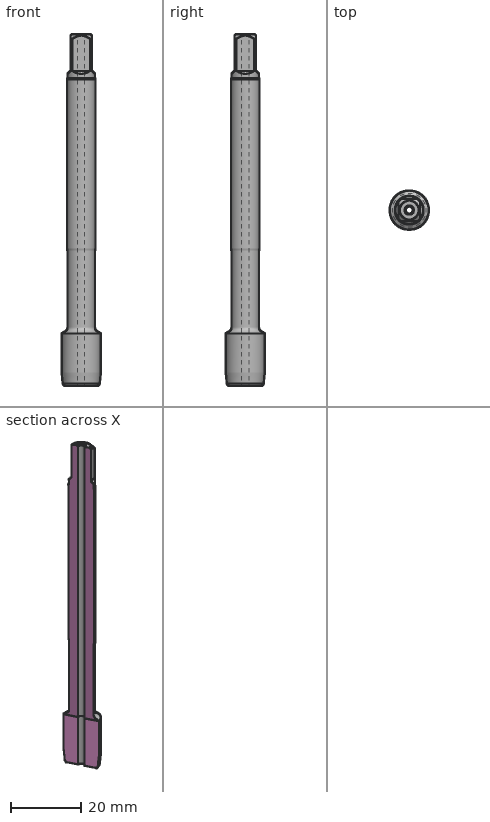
import cadquery as cq
import math

total_length = 100.0
coolant_bore_diameter = 2.0
countersink_diameter = 2.6

head_diameter = 11.2
lead_diameter = 10.6
nose_diameter = 9.6
nose_chamfer_top = 0.7
lead_top = 3.8
head_top = 15.0

neck_diameter = 7.9
shank_diameter = 8.2
neck_fillet_radius = 1.2
shoulder_angle = math.radians(60)
neck_top = 38.4
shank_bottom = 39.0
shank_top = 87.1
shank_chamfer_height = 0.4

drive_diameter = 7.9
drive_flats = 6.2
drive_bottom = 89.6
drive_end_diameter = 5.4


def revolve_profile(points):
    """Revolve an outline of (radius, height) points about the Z axis."""
    return cq.Workplane("XZ").polyline(points).close().revolve(360, (0, 0), (0, 1))


def make_bore():
    """Through bore on the Z axis with a 45 degree countersink at the drive end."""
    bore_radius = coolant_bore_diameter / 2
    countersink_radius = countersink_diameter / 2
    countersink_depth = countersink_radius - bore_radius
    return revolve_profile([
        (0, 0),
        (bore_radius, 0),
        (bore_radius, total_length - countersink_depth),
        (countersink_radius, total_length),
        (0, total_length),
    ])


def make_flat_cutter():
    """Block beyond the +X drive flat, with a floor sloping down at 45 degrees."""
    flat_offset = drive_flats / 2
    outer = shank_diameter
    return (
        cq.Workplane("XZ")
        .polyline([
            (flat_offset, drive_bottom),
            (outer, drive_bottom - (outer - flat_offset)),
            (outer, total_length),
            (flat_offset, total_length),
        ])
        .close()
        .extrude(shank_diameter, both=True)
    )


def make_head():
    """Threaded head: nose chamfer, tapered lead and full-diameter cylinder."""
    blank = revolve_profile([
        (0, 0),
        (nose_diameter / 2, 0),
        (lead_diameter / 2, nose_chamfer_top),
        (head_diameter / 2, lead_top),
        (head_diameter / 2, head_top),
        (0, head_top),
    ])
    return blank.cut(make_bore())


def make_shoulder():
    """Conical shoulder on the head, blended into the neck by a tangent concave arc."""
    neck_radius = neck_diameter / 2
    head_radius = head_diameter / 2
    arc_center_radius = neck_radius + neck_fillet_radius
    cone_top_radius = arc_center_radius - neck_fillet_radius * math.cos(shoulder_angle)
    cone_top = head_top + (head_radius - cone_top_radius) / math.tan(shoulder_angle)
    fillet_top = cone_top + neck_fillet_radius * math.sin(shoulder_angle)
    arc_middle = (
        arc_center_radius - neck_fillet_radius * math.cos(shoulder_angle / 2),
        fillet_top - neck_fillet_radius * math.sin(shoulder_angle / 2),
    )
    return (
        cq.Workplane("XZ")
        .moveTo(0, head_top)
        .lineTo(head_radius, head_top)
        .lineTo(cone_top_radius, cone_top)
        .threePointArc(arc_middle, (neck_radius, fillet_top))
        .lineTo(0, fillet_top)
        .close()
        .revolve(360, (0, 0), (0, 1))
    )


def make_shank():
    """Shoulder, neck, shank and square drive above the head."""
    end_chamfer = (drive_diameter - drive_end_diameter) / 2
    blank = revolve_profile([
        (0, head_top),
        (neck_diameter / 2, head_top),
        (neck_diameter / 2, neck_top),
        (shank_diameter / 2, shank_bottom),
        (shank_diameter / 2, shank_top),
        (drive_diameter / 2, shank_top + shank_chamfer_height),
        (drive_diameter / 2, total_length - end_chamfer),
        (drive_end_diameter / 2, total_length),
        (0, total_length),
    ]).union(make_shoulder())
    cutter = make_flat_cutter()
    for angle in (0, 90, 180, 270):
        blank = blank.cut(cutter.rotate((0, 0, 0), (0, 0, 1), angle))
    return blank.cut(make_bore())


head = make_head()
shank = make_shank()
result = cq.Compound.makeCompound([head.val(), shank.val()])